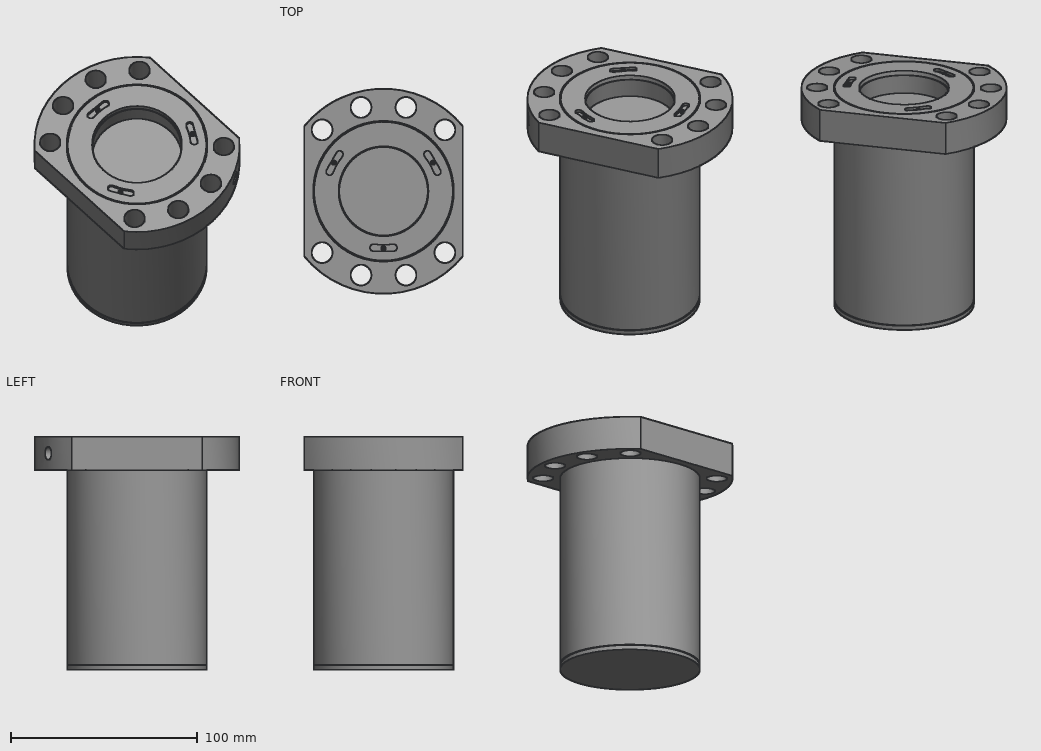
import cadquery as cq
import math

height = 125.0
body_diameter = 75.0
flange_thickness = 18.0
flange_diameter = 110.0
flange_width = 85.0

bore_diameter = 48.0
mouth_top_diameter = 48.2
mouth_bottom_diameter = 47.4
bore_depth = 12.9

cap_thickness = 2.5
top_groove_outer_diameter = 75.5
top_groove_inner_diameter = 74.2
bottom_groove_width = 0.2
bottom_groove_floor_diameter = 74.5

bolt_hole_diameter = 11.0
bolt_circle_radius = 46.5
bolt_angles = (45, 75, 105, 135, 225, 255, 285, 315)

port_diameter = 6.9
port_angle = 120

slot_distance = 30.2
slot_length = 14.5
slot_width = 3.8
slot_depth = 1.5
slot_land_diameter = 57.5
slot_angles = (30, 150, 270)
pin_diameter = 2.4
pin_hole_diameter = 1.0
pin_height = 0.9
pin_circle_radius = 30.6


def polar(radius, angle):
    """Point at a radius and an angle in degrees around the Z axis."""
    return (radius * math.cos(math.radians(angle)), radius * math.sin(math.radians(angle)))


def disc(diameter, bottom, thickness):
    return cq.Workplane("XY").workplane(offset=bottom).circle(diameter / 2).extrude(thickness)


def ring(outer_diameter, inner_diameter, bottom, thickness):
    outer = disc(outer_diameter, bottom, thickness)
    return outer.cut(disc(inner_diameter, bottom, thickness))


def make_flange():
    """Round flange with two flats across X."""
    bottom = height - flange_thickness
    flats = cq.Workplane("XY").box(flange_width, flange_diameter, flange_thickness, centered=(True, True, False))
    return disc(flange_diameter, bottom, flange_thickness).intersect(flats.translate((0, 0, bottom)))


def make_bore():
    bore = disc(bore_diameter, height - bore_depth, bore_depth - cap_thickness)
    mouth_bottom = cq.Workplane("XY").workplane(offset=height - cap_thickness).circle(mouth_bottom_diameter / 2)
    mouth = mouth_bottom.workplane(offset=cap_thickness).circle(mouth_top_diameter / 2).loft()
    return bore.union(mouth)


def make_bolt_holes():
    centers = [polar(bolt_circle_radius, angle) for angle in bolt_angles]
    base = cq.Workplane("XY").workplane(offset=height - flange_thickness)
    return base.pushPoints(centers).circle(bolt_hole_diameter / 2).extrude(flange_thickness)


def make_port():
    """Radial hole at mid flange, running from the axis out through the rim."""
    direction = cq.Vector(*polar(1, port_angle), 0)
    start = cq.Vector(0, 0, height - flange_thickness / 2)
    return cq.Workplane(cq.Solid.makeCylinder(port_diameter / 2, flange_diameter, start, direction))


def make_slot(angle):
    """Straight round-ended slot square to the radius, stopped short by the round land."""
    floor = height - slot_depth
    slot = (
        cq.Workplane("XY")
        .workplane(offset=floor)
        .center(*polar(slot_distance, angle))
        .slot2D(slot_length, slot_width, angle + 90)
        .extrude(slot_depth)
    )
    return slot.cut(disc(slot_land_diameter, floor, slot_depth))


def make_pin(angle):
    """Hollow pin standing on the slot floor."""
    x, y = polar(pin_circle_radius, angle)
    return ring(pin_diameter, pin_hole_diameter, height - slot_depth, pin_height).translate((x, y, 0))


result = disc(body_diameter, 0, height).union(make_flange()).cut(make_bore())

result = result.cut(
    ring(top_groove_outer_diameter, top_groove_inner_diameter, height - cap_thickness, cap_thickness)
)
result = result.cut(ring(body_diameter, bottom_groove_floor_diameter, cap_thickness, bottom_groove_width))

result = result.cut(make_bolt_holes()).cut(make_port())

for slot_angle in slot_angles:
    result = result.cut(make_slot(slot_angle)).union(make_pin(slot_angle))